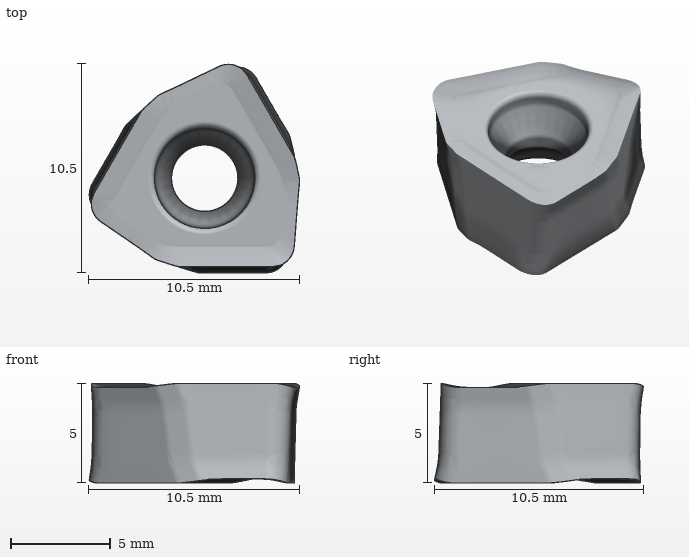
import math

import cadquery as cq


SECTORS = 3
SECTOR_ANGLE = 360 / SECTORS
HEIGHT = 5.0
MID_Z = HEIGHT / 2

LONG_ANGLE = 270.0
SHORT_ANGLE = 235.6
BRIDGE_ANGLE = (LONG_ANGLE + SHORT_ANGLE) / 2
NEXT_SHORT_ANGLE = SHORT_ANGLE + SECTOR_ANGLE
NOSE_ANGLE = BRIDGE_ANGLE + SECTOR_ANGLE / 2

INSET_DISTANCE = 4.42
MAIN_SLOPE = 2.0
FLARE_SLOPE = 11.5
BEND_START = 3.54
BEND_END = 4.17
BRIDGE_WAIST_DISTANCE = 4.54
BRIDGE_FLARE_SLOPE = 5.0

NOSE_RADIUS = 1.10
BRIDGE_RADIUS = 0.8
NOSE_SPREAD = 10.0
BRIDGE_SPREAD = 20.0
MIN_CLIMB = 0.1

FLOOR_Z = 4.80
SHORT_EDGE_Z = 4.78
SHORT_EDGE_DISTANCE = 4.74
FLOOR_LONG_DISTANCE = 3.43
FLOOR_SHORT_DISTANCE = 4.09
FLOOR_NOSE_RADIUS = 0.83
FLOOR_BRIDGE_RADIUS = 3.2
LONG_LAND_LEAN = 14.0
SHORT_LAND_LEAN = 41.0

RIM_RADIUS = 2.83
SEAT_RADIUS = 2.52
CONE_TOP_RADIUS = 2.40
CONE_BOTTOM_RADIUS = 1.72
THROAT_RADIUS = 1.66
RIM_ROUNDING = RIM_RADIUS - SEAT_RADIUS
SEAT_DROP = 0.51
CONE_TOP_DROP = 0.87
UPPER_THROAT_DROP = 2.26
LOWER_THROAT_DROP = 1.87
THROAT_BLEND = 0.20

STOCK_SIZE = 30.0
CAP_Z = HEIGHT + 2.0
LAND_REACH = 2.5


def direction(angle):
    """Horizontal unit vector at an angle in degrees from +X."""
    a = math.radians(angle)
    return cq.Vector(math.cos(a), math.sin(a), 0)


def turned_over(shape):
    """Half turn about the horizontal axis through mid height."""
    centre = cq.Vector(0, 0, MID_Z)
    return shape.rotate(centre, centre + direction(BRIDGE_ANGLE), 180)


def around(shape):
    """Copies of a shape in every sector."""
    return [shape.rotate((0, 0, 0), (0, 0, 1), i * SECTOR_ANGLE) for i in range(SECTORS)]




def long_flank_stock():
    """Block lying behind one long flank, with its flare at the bottom."""
    bend_depth = BEND_END - BEND_START
    main_tan = math.tan(math.radians(MAIN_SLOPE))
    flare_tan = math.tan(math.radians(FLARE_SLOPE))
    mid_slope = math.radians((MAIN_SLOPE + FLARE_SLOPE) / 2)
    bend_start_x = INSET_DISTANCE + BEND_START * main_tan
    bend_end_x = bend_start_x + bend_depth * math.tan(mid_slope)
    bottom_x = bend_end_x + (HEIGHT - BEND_END) * flare_tan
    profile = (
        cq.Workplane("XZ")
        .moveTo(-STOCK_SIZE, HEIGHT)
        .lineTo(INSET_DISTANCE, HEIGHT)
        .lineTo(bend_start_x, HEIGHT - BEND_START)
        .tangentArcPoint((bend_end_x, HEIGHT - BEND_END), relative=False)
        .lineTo(bottom_x, 0)
        .lineTo(-STOCK_SIZE, 0)
        .close()
    )
    return profile.extrude(STOCK_SIZE, both=True).val().rotate((0, 0, 0), (0, 0, 1), LONG_ANGLE)


def bridge_stock():
    """Block lying behind one bridging flank, flared toward both faces."""
    flare_tan = math.tan(math.radians(BRIDGE_FLARE_SLOPE))
    bend_mid_tan = math.tan(math.radians(BRIDGE_FLARE_SLOPE / 2))
    bend_end_x = BRIDGE_WAIST_DISTANCE + (BEND_END - BEND_START) * bend_mid_tan
    edge_x = bend_end_x + (HEIGHT - BEND_END) * flare_tan
    profile = (
        cq.Workplane("XZ")
        .moveTo(-STOCK_SIZE, 0)
        .lineTo(edge_x, 0)
        .lineTo(bend_end_x, HEIGHT - BEND_END)
        .tangentArcPoint((BRIDGE_WAIST_DISTANCE, HEIGHT - BEND_START), relative=False)
        .lineTo(BRIDGE_WAIST_DISTANCE, BEND_START)
        .tangentArcPoint((bend_end_x, BEND_END), relative=False)
        .lineTo(edge_x, HEIGHT)
        .lineTo(-STOCK_SIZE, HEIGHT)
        .close()
    )
    return profile.extrude(STOCK_SIZE, both=True).val().rotate((0, 0, 0), (0, 0, 1), BRIDGE_ANGLE)


def corner_edges(body, angle, spread):
    """Edges climbing the body whose middles lie within a spread about one direction of any sector."""
    found = []
    for edge in body.Edges():
        middle = edge.positionAt(0.5)
        bearing = math.degrees(math.atan2(middle.y, middle.x))
        offset = (bearing - angle + SECTOR_ANGLE / 2) % SECTOR_ANGLE - SECTOR_ANGLE / 2
        if edge.BoundingBox().zlen > MIN_CLIMB and abs(offset) < spread:
            found.append(edge)
    return found


def make_body():
    """Prism bounded by all nine flanks, with rounded edges between them."""
    long_stock = long_flank_stock()
    first, *others = around(bridge_stock()) + around(long_stock) + around(turned_over(long_stock))
    body = first
    for stock in others:
        body = body.intersect(stock)
    body = body.Solids()[0]
    body = body.fillet(NOSE_RADIUS, corner_edges(body, NOSE_ANGLE, NOSE_SPREAD))
    return body.fillet(BRIDGE_RADIUS, corner_edges(body, BRIDGE_ANGLE, BRIDGE_SPREAD))




def floor_corner(angle_a, distance_a, angle_b, distance_b, radius):
    """Arc rounding the corner between two sides of the floor."""
    a = direction(angle_a)
    b = direction(angle_b)
    cross = a.x * b.y - a.y * b.x
    inset_a = distance_a - radius
    inset_b = distance_b - radius
    centre_x = (inset_a * b.y - inset_b * a.y) / cross
    centre_y = (a.x * inset_b - b.x * inset_a) / cross
    centre = cq.Vector(centre_x, centre_y, FLOOR_Z)
    middle = direction((angle_a + angle_b) / 2)
    return cq.Edge.makeThreePointArc(centre + a * radius, centre + middle * radius, centre + b * radius)


def land_end(floor_point, angle, rise, lean=0.0):
    """Outer end of a straight land line leaving the floor, leaning sideways from square."""
    sideways = direction(angle + 90) * math.tan(math.radians(lean))
    return floor_point + (direction(angle) + sideways + cq.Vector(0, 0, rise)) * LAND_REACH


def corner_curve(start, start_angle, end, end_angle):
    """Smooth curve running level from the end of one land to the start of the next."""
    tangents = [direction(start_angle + 90), direction(end_angle + 90)]
    return cq.Edge.makeSpline([start, end], tangents=tangents)


def turned(point):
    """The matching point of the next sector."""
    return cq.Vertex.makeVertex(*point.toTuple()).rotate((0, 0, 0), (0, 0, 1), SECTOR_ANGLE).Center()


def at_cap(point):
    """The point straight above or below, at the top of the cutter."""
    return cq.Vector(point.x, point.y, CAP_Z)


def land_cutter():
    """Space above the floor and the lands of the upper face."""
    long_rise = (HEIGHT - FLOOR_Z) / (INSET_DISTANCE - FLOOR_LONG_DISTANCE)
    short_rise = (SHORT_EDGE_Z - FLOOR_Z) / (SHORT_EDGE_DISTANCE - FLOOR_SHORT_DISTANCE)
    short_side = (SHORT_ANGLE, FLOOR_SHORT_DISTANCE)
    long_side = (LONG_ANGLE, FLOOR_LONG_DISTANCE)
    next_short_side = (NEXT_SHORT_ANGLE, FLOOR_SHORT_DISTANCE)
    bridge = floor_corner(*short_side, *long_side, FLOOR_BRIDGE_RADIUS)
    nose = floor_corner(*long_side, *next_short_side, FLOOR_NOSE_RADIUS)

    bridge_start = land_end(bridge.startPoint(), SHORT_ANGLE, short_rise)
    bridge_end = land_end(bridge.endPoint(), LONG_ANGLE, long_rise)
    nose_start = land_end(nose.startPoint(), LONG_ANGLE, long_rise, LONG_LAND_LEAN)
    nose_end = land_end(nose.endPoint(), NEXT_SHORT_ANGLE, short_rise, -SHORT_LAND_LEAN)

    def outer_ring(place):
        return [
            corner_curve(place(bridge_start), SHORT_ANGLE, place(bridge_end), LONG_ANGLE),
            cq.Edge.makeLine(place(bridge_end), place(nose_start)),
            corner_curve(place(nose_start), LONG_ANGLE, place(nose_end), NEXT_SHORT_ANGLE),
            cq.Edge.makeLine(place(nose_end), place(turned(bridge_start))),
        ]

    floor_ring = [
        bridge,
        cq.Edge.makeLine(bridge.endPoint(), nose.startPoint()),
        nose,
        cq.Edge.makeLine(nose.endPoint(), turned(bridge.startPoint())),
    ]
    land_ring = outer_ring(cq.Vector)
    cap_ring = outer_ring(at_cap)

    faces = []
    for inner, outer in list(zip(floor_ring, land_ring)) + list(zip(land_ring, cap_ring)):
        faces += around(cq.Face.makeRuledSurface(inner, outer))
    for ring in (floor_ring, cap_ring):
        loop = [edge for part in ring for edge in around(part)]
        faces.append(cq.Face.makeFromWires(cq.Wire.combine(loop)[0]))
    return cq.Solid.makeSolid(cq.Shell.makeShell(faces)).fix()




def half_hole(throat_drop):
    """Rounded rim, short seat, rounded step and cone, down to the throat at mid height."""
    profile = (
        cq.Workplane("XZ")
        .moveTo(0, CAP_Z)
        .lineTo(RIM_RADIUS, CAP_Z)
        .lineTo(RIM_RADIUS, FLOOR_Z)
        .radiusArc((SEAT_RADIUS, FLOOR_Z - RIM_ROUNDING), -RIM_ROUNDING)
        .lineTo(SEAT_RADIUS, FLOOR_Z - SEAT_DROP)
        .tangentArcPoint((CONE_TOP_RADIUS, FLOOR_Z - CONE_TOP_DROP), relative=False)
        .lineTo(CONE_BOTTOM_RADIUS, FLOOR_Z - throat_drop + THROAT_BLEND)
        .tangentArcPoint((THROAT_RADIUS, FLOOR_Z - throat_drop), relative=False)
        .lineTo(THROAT_RADIUS, MID_Z)
        .lineTo(0, MID_Z)
        .close()
    )
    return profile.revolve(360, (0, 0, 0), (0, 1, 0)).val()



lands = land_cutter()
insert = make_body().cut(lands, turned_over(lands))
insert = insert.cut(half_hole(UPPER_THROAT_DROP), turned_over(half_hole(LOWER_THROAT_DROP)))

result = cq.Workplane(insert)